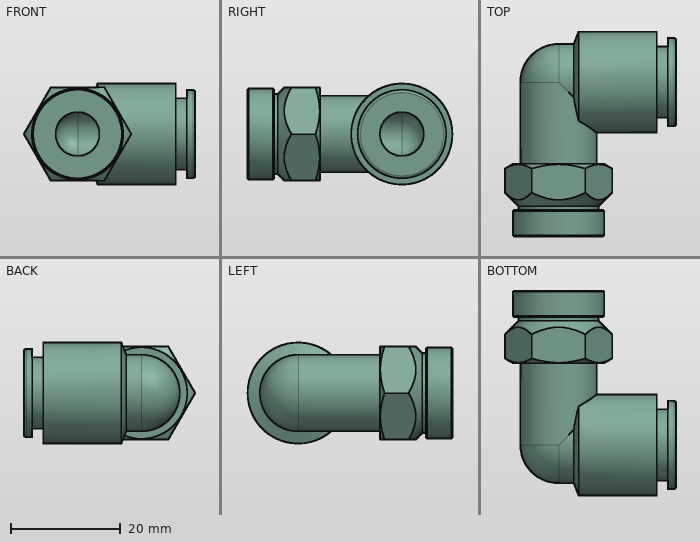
import cadquery as cq
import math


body_radius = 7.0
bore_radius = 4.0

hex_flats = 17.0
hex_corner_radius = hex_flats / math.sqrt(3)
hex_start = 14.95
hex_end = 22.65
hex_top_radius = 8.35
hex_top_angle = math.radians(30)
hex_trim_clearance = 0.37

groove_radius = 7.35
collar_radius = 8.35
collar_start = 23.35
collar_chamfer = 0.25

sleeve_radius = 9.25
sleeve_start = 2.77
sleeve_cone_length = 0.9
sleeve_end = 17.98

neck_radius = 6.55
flange_radius = 8.1
flange_start = 19.95
flange_rounding = 0.5

total_x = 31.3
total_y = 37.45
thread_end = total_y - sleeve_radius
socket_end = total_x - hex_corner_radius


def rod_to_thread(radius, start, end):
    """Cylinder along the leg that points to -Y."""
    return cq.Workplane("XZ").workplane(offset=start).circle(radius).extrude(end - start)


def rod_to_socket(radius, start, end):
    """Cylinder along the leg that points to +X."""
    return cq.Workplane("YZ").workplane(offset=start).circle(radius).extrude(end - start)


def round_elbow(radius, thread_reach, socket_reach):
    """Two equal perpendicular rods joined by a sphere at the elbow centre."""
    elbow = cq.Workplane("XY").sphere(radius)
    elbow = elbow.union(rod_to_thread(radius, 0, thread_reach))
    return elbow.union(rod_to_socket(radius, 0, socket_reach))


def hexagon_nut():
    """Hexagon with corners on X, trimmed at 30 degrees behind and 45 degrees in front."""
    prism = (
        cq.Workplane("XZ").workplane(offset=hex_start)
        .polygon(6, 2 * hex_corner_radius).extrude(hex_end - hex_start)
    )
    trim_radius = hex_corner_radius + hex_trim_clearance
    back_cone_length = (trim_radius - hex_top_radius) * math.tan(hex_top_angle)
    front_cone_length = trim_radius - groove_radius
    envelope = (
        cq.Workplane("XY")
        .moveTo(0, -hex_start)
        .lineTo(hex_top_radius, -hex_start)
        .lineTo(trim_radius, -hex_start - back_cone_length)
        .lineTo(trim_radius, -hex_end + front_cone_length)
        .lineTo(groove_radius, -hex_end)
        .lineTo(0, -hex_end)
        .close()
        .revolve(360, (0, 0, 0), (0, 1, 0))
    )
    return prism.intersect(envelope)


def threaded_end():
    """Collar with both rims chamfered, set off from the nut by a narrow groove."""
    collar = rod_to_thread(collar_radius, collar_start, thread_end).edges().chamfer(collar_chamfer)
    return collar.union(rod_to_thread(groove_radius, hex_start, collar_start))


def socket():
    """Sleeve with a conical shoulder, followed by the release ring."""
    sleeve = (
        rod_to_socket(sleeve_radius, sleeve_start, sleeve_end)
        .faces("<X").chamfer(sleeve_cone_length, sleeve_radius - body_radius)
    )
    neck = rod_to_socket(neck_radius, sleeve_start, flange_start)
    flange = (
        rod_to_socket(flange_radius, flange_start, socket_end)
        .faces(">X").edges().fillet(flange_rounding)
    )
    return sleeve.union(neck).union(flange)


body = round_elbow(body_radius, hex_end, sleeve_end)
body = body.union(hexagon_nut()).union(threaded_end()).union(socket())
result = body.cut(round_elbow(bore_radius, thread_end, socket_end))